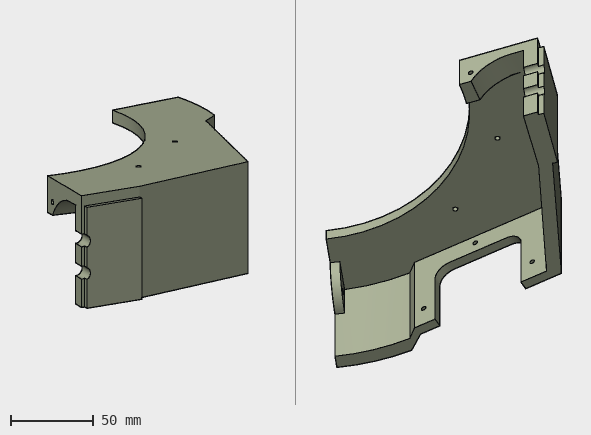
import cadquery as cq
import math

height = 69.9
length = 186.3
plate_thickness = 8.0
outer_radius = 149.2
inner_radius = 99.5
left_end_angle = 12.9
end_wall_thickness = 9.0
side_wall_thickness = 8.5
front_wall_thickness = 9.1
back_wall_thickness = 6.0

end_sin = math.sin(math.radians(left_end_angle))
end_cos = math.cos(math.radians(left_end_angle))
center_x = outer_radius * end_sin
wall_radius = outer_radius - end_wall_thickness
plate_bottom = height - plate_thickness

arc_end_x = 47.0
jog_corner = (56.5, 138.6)
back_corner = (152.5, 123.5)
side_bend = (177.5, 41.0)
front_corner = (183.1, 0.0)

inner_arc_end_x = 49.2
inner_jog_corner = (54.8, 132.7)
inner_back_corner = (144.8, 118.7)
inner_side_bend_y = 39.9
inner_side_bend = (side_bend[0] - side_wall_thickness, inner_side_bend_y)
inner_front_corner = (front_corner[0] - front_wall_thickness, 0.0)

opening_width = 59.2
opening_height = 47.7
opening_corner_radius = 10.0
opening_center_x = 98.0

small_hole = 3.0
left_hole = 3.5
plate_hole_circle_radius = 118.0
plate_hole_angles = (30, 60)
back_hole_spacing = 74.9
back_hole_low_z = 14.7
back_hole_high_z = 55.7
back_hole_high_offset = -1.9

left_gusset_radius = 22.2
left_gusset_thickness = 6.0
left_hole_inset = 7.5
left_hole_drop = 10.6

front_gusset_depth = 15.5
front_gusset_bottom = 47.0
arch_radius = 29.8
arch_center_x = 166.2
front_hole_x = 140.1
front_hole_z = 55.1

tab_projection = length - front_corner[0]
tab_front_y = 2.2
tab_height = 63.2
groove_diameter = 8.0
groove_center_y = 0.65
groove_heights = (21.8, 42.0)


def on_circle(radius, angle):
    """Point on a shell circle; the angle is in degrees from +X."""
    turn = math.radians(angle)
    return (center_x + radius * math.cos(turn), radius * math.sin(turn))


def circle_point_at_x(radius, x):
    return (x, math.sqrt(radius**2 - (x - center_x) ** 2))


def profile(radius, arc_x, corners):
    """Face between the inner arc and a stepped outer contour."""
    left_angle = 90 + left_end_angle
    arc_end = circle_point_at_x(radius, arc_x)
    arc_end_angle = math.degrees(math.atan2(arc_end[1], arc_end[0] - center_x))
    sketch = cq.Workplane("XY").moveTo(*on_circle(inner_radius, left_angle))
    sketch = sketch.lineTo(*on_circle(radius, left_angle))
    sketch = sketch.threePointArc(on_circle(radius, (left_angle + arc_end_angle) / 2), arc_end)
    for corner in corners:
        sketch = sketch.lineTo(*corner)
    sketch = sketch.lineTo(*on_circle(inner_radius, 0))
    sketch = sketch.threePointArc(
        on_circle(inner_radius, left_angle / 2), on_circle(inner_radius, left_angle)
    )
    return sketch.close()


def outer_body():
    corners = (jog_corner, back_corner, side_bend, front_corner)
    return profile(outer_radius, arc_end_x, corners).extrude(height)


def cavity():
    corners = (inner_jog_corner, inner_back_corner, inner_side_bend, inner_front_corner)
    return profile(wall_radius, inner_arc_end_x, corners).extrude(plate_bottom)


def left_end_plane():
    """Plane on the left end face: local x runs outward, local y runs up."""
    return cq.Plane(origin=(center_x, 0, 0), xDir=(-end_sin, end_cos, 0), normal=(end_cos, end_sin, 0))


def left_gusset():
    diagonal = left_gusset_radius * math.sqrt(0.5)
    return (
        cq.Workplane(left_end_plane())
        .moveTo(wall_radius - left_gusset_radius, plate_bottom)
        .threePointArc(
            (wall_radius - diagonal, plate_bottom - diagonal),
            (wall_radius, plate_bottom - left_gusset_radius),
        )
        .lineTo(outer_radius - end_wall_thickness / 2, plate_bottom - left_gusset_radius)
        .lineTo(outer_radius - end_wall_thickness / 2, plate_bottom)
        .close()
        .extrude(left_gusset_thickness)
    )


def left_gusset_hole():
    return (
        cq.Workplane(left_end_plane())
        .center(wall_radius - left_hole_inset, plate_bottom - left_hole_drop)
        .circle(left_hole / 2)
        .extrude(left_gusset_thickness)
    )


def front_gusset():
    arch_center_z = plate_bottom - arch_radius
    arch_start_rise = front_gusset_bottom - arch_center_z
    arch_start_x = arch_center_x - math.sqrt(arch_radius**2 - arch_start_rise**2)
    diagonal = arch_radius * math.sqrt(0.5)
    inner_edge_x = center_x + math.sqrt(inner_radius**2 - front_gusset_depth**2)
    block = (
        cq.Workplane("XZ")
        .moveTo(inner_edge_x, plate_bottom)
        .lineTo(inner_edge_x, front_gusset_bottom)
        .lineTo(arch_start_x, front_gusset_bottom)
        .threePointArc(
            (arch_center_x - diagonal, arch_center_z + diagonal), (arch_center_x, plate_bottom)
        )
        .close()
        .extrude(-front_gusset_depth)
    )
    return block.intersect(outer_body())


def front_gusset_hole():
    return (
        cq.Workplane("XZ")
        .center(front_hole_x, front_hole_z)
        .circle(small_hole / 2)
        .extrude(-front_gusset_depth)
    )


def back_wall_cuts():
    run = inner_back_corner[0] - inner_jog_corner[0]
    rise = inner_back_corner[1] - inner_jog_corner[1]
    opening_y = inner_jog_corner[1] + (opening_center_x - inner_jog_corner[0]) * rise / run
    wall_plane = cq.Plane(
        origin=(opening_center_x, opening_y, 0), xDir=(run, rise, 0), normal=(rise, -run, 0)
    )
    reach = 2 * back_wall_thickness
    opening = (
        cq.Workplane(wall_plane)
        .rect(opening_width, 2 * opening_height)
        .extrude(reach, both=True)
        .edges(cq.selectors.ParallelDirSelector(wall_plane.zDir))
        .fillet(opening_corner_radius)
    )
    hole_places = [
        (-back_hole_spacing / 2, back_hole_low_z),
        (back_hole_spacing / 2, back_hole_low_z),
        (back_hole_high_offset, back_hole_high_z),
    ]
    holes = (
        cq.Workplane(wall_plane)
        .pushPoints(hole_places)
        .circle(small_hole / 2)
        .extrude(reach, both=True)
    )
    return opening.union(holes)


def plate_holes():
    return (
        cq.Workplane("XY", origin=(0, 0, plate_bottom))
        .pushPoints([on_circle(plate_hole_circle_radius, angle) for angle in plate_hole_angles])
        .circle(small_hole / 2)
        .extrude(plate_thickness)
    )


def side_tab():
    side_slope = (front_corner[0] - side_bend[0]) / side_bend[1]
    tab_front_x = front_corner[0] - tab_front_y * side_slope
    return (
        cq.Workplane("XY")
        .moveTo(side_bend[0] - side_wall_thickness / 2, side_bend[1])
        .lineTo(side_bend[0] + tab_projection, side_bend[1])
        .lineTo(length, tab_front_y)
        .lineTo(tab_front_x - side_wall_thickness / 2, tab_front_y)
        .close()
        .extrude(tab_height)
    )


def front_grooves():
    return (
        cq.Workplane("YZ", origin=(inner_side_bend[0], 0, 0))
        .pushPoints([(groove_center_y, z) for z in groove_heights])
        .circle(groove_diameter / 2)
        .extrude(length - inner_side_bend[0])
    )


shell = outer_body().cut(cavity()).union(side_tab())
shell = shell.cut(back_wall_cuts()).cut(front_grooves())
shell = shell.union(left_gusset()).union(front_gusset())
result = shell.cut(left_gusset_hole()).cut(front_gusset_hole()).cut(plate_holes())